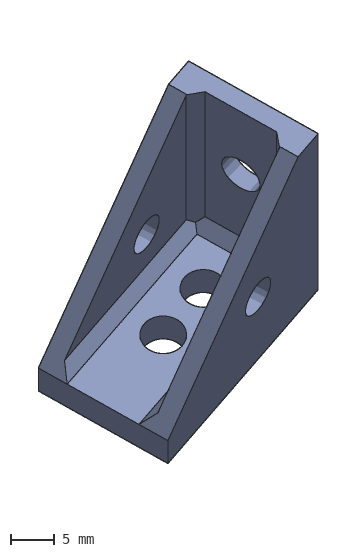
import cadquery as cq

WIDTH = 18.0
DEPTH = 30.0
HEIGHT = 30.0

SIDE_WALL = 2.52
BACK_WALL = 2.52
FLOOR = 4.4
TOP_LAND = 4.02

BEVEL_ACROSS = 1.5
BEVEL_ALONG = 1.6

BOLT_DIAMETER = 5.3
BACK_HOLE_HEIGHT = 18.0
FLOOR_HOLE_SETBACKS = (10.0, 18.0)
SIDE_HOLE_DIAMETER = 5.0
SIDE_HOLE_SETBACK = 12.0
SIDE_HOLE_HEIGHT = 12.0

BACK_Y = DEPTH / 2
FRONT_Y = -DEPTH / 2
INNER_HALF_WIDTH = WIDTH / 2 - SIDE_WALL
INNER_BACK_Y = BACK_Y - BACK_WALL


def centred_prism(plane, points, length):
    """Prism extending equally to both sides of its sketch plane."""
    return cq.Workplane(plane).polyline(points).close().extrude(length / 2, both=True)


def bracket_blank():
    """Solid gusset: a block with its upper front corner sloped off."""
    profile = [
        (BACK_Y, 0),
        (BACK_Y, HEIGHT),
        (BACK_Y - TOP_LAND, HEIGHT),
        (FRONT_Y, FLOOR),
        (FRONT_Y, 0),
    ]
    return centred_prism("YZ", profile, WIDTH)


def bevelled_pocket():
    """Open pocket, the common volume of three prisms that each bevel one set of edges."""
    flat_half_width = INNER_HALF_WIDTH - BEVEL_ACROSS
    plan = [
        (-INNER_HALF_WIDTH, FRONT_Y),
        (-INNER_HALF_WIDTH, INNER_BACK_Y - BEVEL_ALONG),
        (-flat_half_width, INNER_BACK_Y),
        (flat_half_width, INNER_BACK_Y),
        (INNER_HALF_WIDTH, INNER_BACK_Y - BEVEL_ALONG),
        (INNER_HALF_WIDTH, FRONT_Y),
    ]
    cross = [
        (-INNER_HALF_WIDTH, HEIGHT),
        (-INNER_HALF_WIDTH, FLOOR + BEVEL_ALONG),
        (-flat_half_width, FLOOR),
        (flat_half_width, FLOOR),
        (INNER_HALF_WIDTH, FLOOR + BEVEL_ALONG),
        (INNER_HALF_WIDTH, HEIGHT),
    ]
    side = [
        (FRONT_Y, FLOOR),
        (INNER_BACK_Y - BEVEL_ALONG, FLOOR),
        (INNER_BACK_Y, FLOOR + BEVEL_ALONG),
        (INNER_BACK_Y, HEIGHT),
        (FRONT_Y, HEIGHT),
    ]
    plan_prism = cq.Workplane("XY").polyline(plan).close().extrude(HEIGHT)
    cross_prism = centred_prism("XZ", cross, DEPTH)
    side_prism = centred_prism("YZ", side, WIDTH)
    return plan_prism.intersect(cross_prism).intersect(side_prism)


def back_hole():
    return (
        cq.Workplane("XZ", origin=(0, BACK_Y, 0))
        .center(0, BACK_HOLE_HEIGHT)
        .circle(BOLT_DIAMETER / 2)
        .extrude(DEPTH)
    )


def floor_holes():
    centres = [(0, BACK_Y - setback) for setback in FLOOR_HOLE_SETBACKS]
    return cq.Workplane("XY").pushPoints(centres).circle(BOLT_DIAMETER / 2).extrude(HEIGHT)


def side_holes():
    """One straight bore through both side walls."""
    return (
        cq.Workplane("YZ")
        .center(BACK_Y - SIDE_HOLE_SETBACK, SIDE_HOLE_HEIGHT)
        .circle(SIDE_HOLE_DIAMETER / 2)
        .extrude(WIDTH / 2, both=True)
    )


result = (
    bracket_blank()
    .cut(bevelled_pocket())
    .cut(back_hole())
    .cut(floor_holes())
    .cut(side_holes())
)